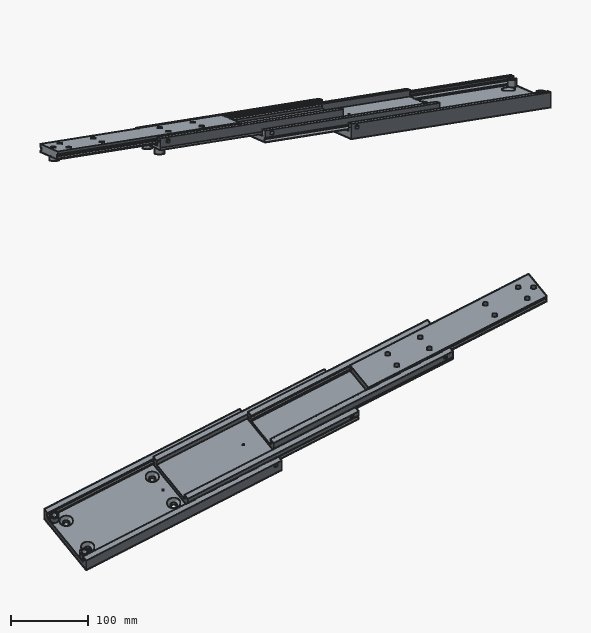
import cadquery as cq

TOTAL_LENGTH = 723.0
WALL = 8.0

BASE_WIDTH = 100.0
BASE_HEIGHT = 20.0
BASE_LENGTH = 299.0
BASE_FLOOR = 9.5
BASE_FRONT = TOTAL_LENGTH - BASE_LENGTH

MIDDLE_WIDTH = 82.0
MIDDLE_FRONT = 300.0
MIDDLE_LENGTH = 262.0
MIDDLE_BOTTOM = 11.0
MIDDLE_TOP = 27.0
MIDDLE_FLOOR = 7.0

INNER_WIDTH = 61.0
INNER_FRONT = 149.0
INNER_LENGTH = 275.0
INNER_BOTTOM = 19.5
INNER_TOP = 35.5
INNER_FLOOR = 4.0

SLIDE_WIDTH = 43.5
SLIDE_BOTTOM = 26.0
SLIDE_TOP = 37.0
SLIDE_LENGTH = 273.0

GROOVE_DEPTH = 2.5
SHALLOW_GROOVE_DEPTH = 1.0
GROOVE_HEIGHT = 6.0
SLIDE_GROOVE_FLAT = 2.0
BASE_GROOVE_Z = 14.5
INNER_GROOVE_Z = 22.5
SLIDE_GROOVE_Z = 30.5

MOUNT_HOLE_DIAMETER = 9.0
COUNTERSINK_DIAMETER = 17.0
COUNTERSINK_ANGLE = 90
MOUNT_HOLE_X = 25.0
MOUNT_HOLE_MARGIN = 18.0

STUD_DIAMETER = 11.5
STUD_SOCKET_DIAMETER = 7.0
STUD_HEIGHT = 9.5
STUD_SOCKET_DEPTH = 3.5
STUD_X = 35.5
STUD_MARGIN = 6.5

PILOT_DIAMETER = 2.0
MIDDLE_PILOT_FROM_REAR = 111.0
SIDE_HOLE_DIAMETER = 5.0
BASE_SIDE_HOLE_MARGIN = 9.0
MIDDLE_SIDE_HOLE_MARGIN = 10.0
INNER_SIDE_HOLE_MARGIN = 11.5
BASE_SIDE_HOLE_Z = 15.0
MIDDLE_SIDE_HOLE_Z = 22.5
INNER_SIDE_HOLE_Z = 30.5

BOSS_DIAMETER = 13.0
INNER_BOSS_X = 15.0
BOSS_MARGIN = 8.0

LOAD_HOLE_DIAMETER = 6.5
LOAD_HOLE_X = 11.0
LOAD_HOLE_PITCH = 50.0
LOAD_HOLE_START = 23.0
LOAD_HOLE_STEPS = (0, 1, 3, 4)
END_HOLE_Y = 6.5


def box(width, front, length, bottom, top):
    return cq.Workplane("XY").box(width, length, top - bottom, centered=(True, False, False)).translate(
        (0, front, bottom)
    )


def channel(width, front, length, bottom, top, floor):
    """An upward-opening U-shaped rail."""
    cavity = box(width - 2 * WALL, front, length, bottom + floor, top)
    return box(width, front, length, bottom, top).cut(cavity)


def ball_grooves(width, front, length, groove_z, depth, flat=0):
    """Grooves in both sides, starting at x = width / 2 and cutting outward (inward if depth is negative).

    The section is a V, or a trapezoid when flat gives its bottom a height.
    """
    edge = width / 2
    half_opening = GROOVE_HEIGHT / 2
    section = [(edge, groove_z + half_opening), (edge, groove_z - half_opening)]
    if flat:
        section += [(edge + depth, groove_z - flat / 2), (edge + depth, groove_z + flat / 2)]
    else:
        section.append((edge + depth, groove_z))
    right = cq.Workplane("XZ", origin=(0, front, 0)).polyline(section).close().extrude(-length)
    return right.union(right.mirror("YZ"))


def side_hole(width, y, z):
    """A cross hole that passes through both side walls."""
    return cq.Workplane("YZ", origin=(-width / 2, y, z)).circle(SIDE_HOLE_DIAMETER / 2).extrude(width)


def upright_cylinders(diameter, points, bottom, height):
    return cq.Workplane("XY").workplane(offset=bottom).pushPoints(points).circle(diameter / 2).extrude(height)


def make_base():
    body = channel(BASE_WIDTH, BASE_FRONT, BASE_LENGTH, 0, BASE_HEIGHT, BASE_FLOOR)
    inside = BASE_WIDTH - 2 * WALL
    body = body.cut(ball_grooves(inside, BASE_FRONT, BASE_LENGTH, BASE_GROOVE_Z, GROOVE_DEPTH))

    middle_y = BASE_FRONT + BASE_LENGTH / 2
    rows = (BASE_FRONT + MOUNT_HOLE_MARGIN, middle_y, TOTAL_LENGTH - MOUNT_HOLE_MARGIN)
    mounts = [(side * MOUNT_HOLE_X, y) for side in (-1, 1) for y in rows]
    body = (
        body.cut(upright_cylinders(PILOT_DIAMETER, [(0, middle_y)], 0, BASE_FLOOR))
        .cut(side_hole(BASE_WIDTH, BASE_FRONT + BASE_SIDE_HOLE_MARGIN, BASE_SIDE_HOLE_Z))
    )

    studs = [(side * STUD_X, TOTAL_LENGTH - STUD_MARGIN) for side in (-1, 1)]
    body = body.union(upright_cylinders(STUD_DIAMETER, studs, BASE_FLOOR, STUD_HEIGHT))
    socket = cq.Solid.makeCone(0, STUD_SOCKET_DIAMETER / 2, STUD_SOCKET_DEPTH)
    socket_bottom = BASE_FLOOR + STUD_HEIGHT - STUD_SOCKET_DEPTH
    for x, y in studs:
        body = body.cut(cq.Workplane(socket.translate(cq.Vector(x, y, socket_bottom))))
    return (
        body.copyWorkplane(cq.Workplane("XY", origin=(0, 0, BASE_FLOOR)))
        .pushPoints(mounts)
        .cskHole(MOUNT_HOLE_DIAMETER, COUNTERSINK_DIAMETER, COUNTERSINK_ANGLE)
    )


def make_middle_rail():
    body = channel(MIDDLE_WIDTH, MIDDLE_FRONT, MIDDLE_LENGTH, MIDDLE_BOTTOM, MIDDLE_TOP, MIDDLE_FLOOR)
    pilot_y = MIDDLE_FRONT + MIDDLE_LENGTH - MIDDLE_PILOT_FROM_REAR
    return (
        body.cut(ball_grooves(MIDDLE_WIDTH, MIDDLE_FRONT, MIDDLE_LENGTH, BASE_GROOVE_Z, -GROOVE_DEPTH))
        .cut(upright_cylinders(PILOT_DIAMETER, [(0, pilot_y)], MIDDLE_BOTTOM, MIDDLE_FLOOR))
        .cut(side_hole(MIDDLE_WIDTH, MIDDLE_FRONT + MIDDLE_SIDE_HOLE_MARGIN, MIDDLE_SIDE_HOLE_Z))
    )


def make_inner_rail():
    body = channel(INNER_WIDTH, INNER_FRONT, INNER_LENGTH, INNER_BOTTOM, INNER_TOP, INNER_FLOOR)
    inside = INNER_WIDTH - 2 * WALL
    slide_grooves = ball_grooves(
        inside, INNER_FRONT, INNER_LENGTH, SLIDE_GROOVE_Z, GROOVE_DEPTH, SLIDE_GROOVE_FLAT
    )
    bosses = [(side * INNER_BOSS_X, INNER_FRONT + BOSS_MARGIN) for side in (-1, 1)]
    return (
        body.cut(slide_grooves)
        .cut(ball_grooves(INNER_WIDTH, INNER_FRONT, INNER_LENGTH, INNER_GROOVE_Z, -SHALLOW_GROOVE_DEPTH))
        .cut(side_hole(INNER_WIDTH, INNER_FRONT + INNER_SIDE_HOLE_MARGIN, INNER_SIDE_HOLE_Z))
        .union(upright_cylinders(BOSS_DIAMETER, bosses, MIDDLE_BOTTOM, INNER_BOTTOM - MIDDLE_BOTTOM))
    )


def make_slide():
    body = box(SLIDE_WIDTH, 0, SLIDE_LENGTH, SLIDE_BOTTOM, SLIDE_TOP)
    height = SLIDE_TOP - SLIDE_BOTTOM
    load_holes = [
        (side * LOAD_HOLE_X, LOAD_HOLE_START + step * LOAD_HOLE_PITCH)
        for side in (-1, 1)
        for step in LOAD_HOLE_STEPS
    ]
    boss_height = SLIDE_BOTTOM - INNER_BOTTOM
    end_hole = [(0, END_HOLE_Y)]
    return (
        body.cut(ball_grooves(SLIDE_WIDTH, 0, SLIDE_LENGTH, SLIDE_GROOVE_Z, -GROOVE_DEPTH, SLIDE_GROOVE_FLAT))
        .cut(upright_cylinders(LOAD_HOLE_DIAMETER, load_holes, SLIDE_BOTTOM, height))
        .union(upright_cylinders(BOSS_DIAMETER, [(0, BOSS_MARGIN)], INNER_BOTTOM, boss_height))
        .cut(upright_cylinders(LOAD_HOLE_DIAMETER, end_hole, SLIDE_BOTTOM, height))
    )


base = make_base()
middle_rail = make_middle_rail()
inner_rail = make_inner_rail()
slide = make_slide()

result = cq.Compound.makeCompound([base.val(), middle_rail.val(), inner_rail.val(), slide.val()])